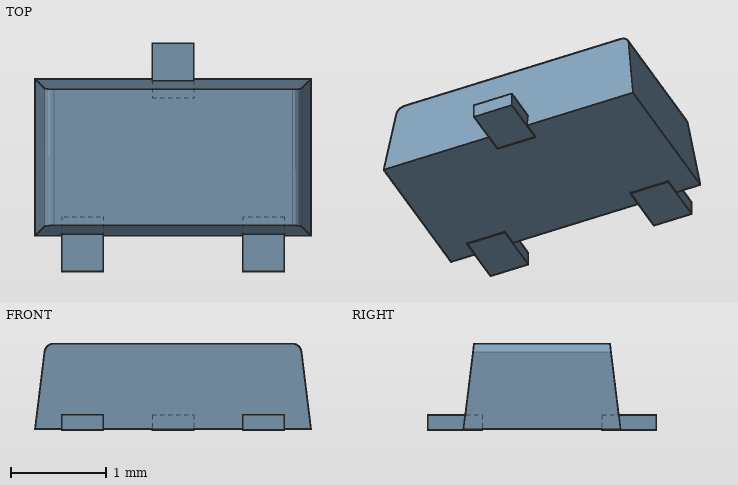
import cadquery as cq
import math

body_length = 2.9
body_width = 1.65
body_height = 0.9
standoff = 0.01
draft_angle = 7.0
end_edge_radius = 0.1

lead_span = 2.4
lead_width = 0.44
lead_embedding = 0.2
lead_length = (lead_span - body_width) / 2 + lead_embedding
lead_thickness = 0.16
lead_pitch = 1.9

lead_places = [(0, 1), (-lead_pitch / 2, -1), (lead_pitch / 2, -1)]


def make_lead(x, side):
    """Flat lead whose outer end lies on the overall span; side is +1 or -1 along Y."""
    center_y = side * (lead_span - lead_length) / 2
    return (
        cq.Workplane("XY")
        .box(lead_width, lead_length, lead_thickness, centered=(True, True, False))
        .translate((x, center_y, 0))
    )


def make_body(leads):
    """Block tapered on all four sides, rounded along its two top end edges."""
    inset = body_height * math.tan(math.radians(draft_angle))
    body = (
        cq.Workplane("XY", origin=(0, 0, standoff))
        .rect(body_length, body_width)
        .workplane(offset=body_height)
        .rect(body_length - 2 * inset, body_width - 2 * inset)
        .loft(ruled=True)
        .faces(">Z")
        .edges("|Y")
        .fillet(end_edge_radius)
    )
    for lead in leads:
        body = body.cut(lead)
    return body


leads = [make_lead(x, side) for x, side in lead_places]
body = make_body(leads)

result = cq.Compound.makeCompound([body.val(), *[lead.val() for lead in leads]])